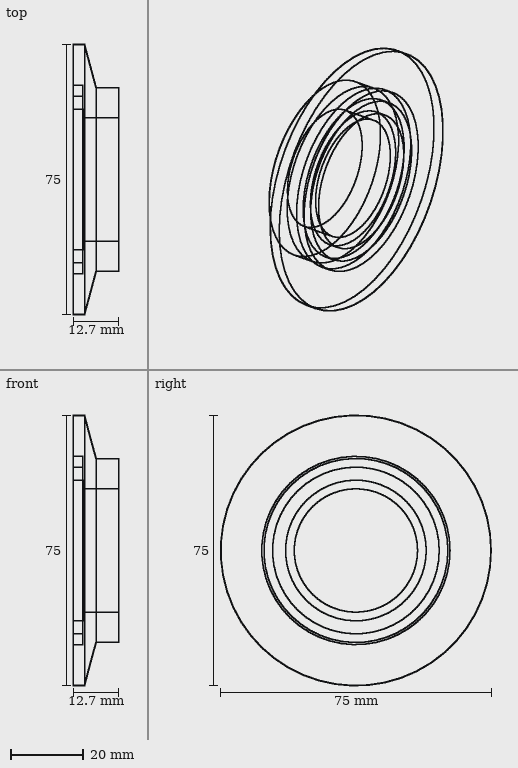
import cadquery as cq

total_length = 12.7
flange_diameter = 75.0
rim_length = 3.15
cone_length = 3.2
hub_diameter = 51.0

groove_outer_diameter = 52.2
groove_inner_diameter = 46.2
groove_depth = 2.6

recess_diameter = 39.0
recess_depth = 2.85
disc_diameter = 34.2


def cylinder(diameter, start, length):
    """Cylinder along +X from the plane X = start."""
    return cq.Workplane("YZ", origin=(start, 0, 0)).circle(diameter / 2).extrude(length)


def make_flange_blank():
    """Rim, tapered back and hub, turned as one profile."""
    return (
        cq.Workplane("XY")
        .lineTo(0, flange_diameter / 2)
        .lineTo(rim_length, flange_diameter / 2)
        .lineTo(rim_length + cone_length, hub_diameter / 2)
        .lineTo(total_length, hub_diameter / 2)
        .lineTo(total_length, 0)
        .close()
        .revolve(360, (0, 0, 0), (1, 0, 0))
    )


def make_groove():
    """Ring-shaped cut in the front face, leaving a raised ring inside it."""
    outer = cylinder(groove_outer_diameter, 0, groove_depth)
    return outer.cut(cylinder(groove_inner_diameter, 0, groove_depth))


def make_disc():
    """Central disc, flush with the recess floor and with the back of the hub."""
    return cylinder(disc_diameter, recess_depth, total_length - recess_depth)


def make_flange():
    """Flange with its groove, its recess and a bore that fits the disc."""
    recess = cylinder(recess_diameter, 0, recess_depth)
    return make_flange_blank().cut(make_groove()).cut(recess).cut(make_disc())


flange = make_flange()
disc = make_disc()

result = cq.Compound.makeCompound([flange.val(), disc.val()])